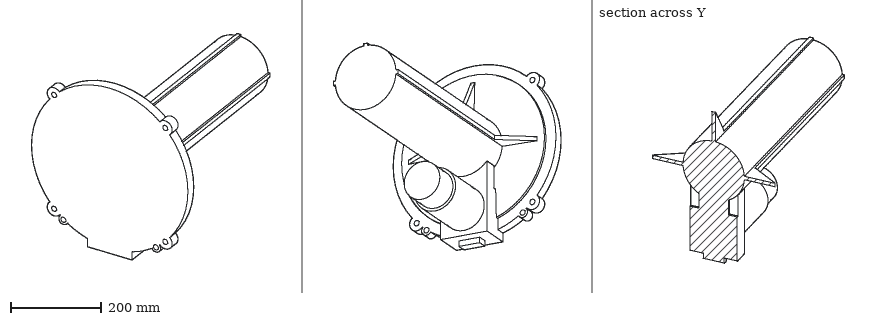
import cadquery as cq

total_length = 548.5
flange_radius = 203.25
flange_thickness = 25.0
step_radius = 178.5
step_thickness = 7.0
cone_height = 5.5

tube_radius = 75.5
rib_radius = 80.5
rib_width = 10.0
gusset_foot_radius = 162.0
gusset_end_y = 83.5

hole_diameter = 12.5
large_lug_radius = 18.0
large_lug_offset = 144.5
small_lug_radius = 12.0
small_lug_x = 120.0
small_lug_z = -165.0

block_width = 116.5
block_depth = 77.0
block_top_z = -49.5
block_bottom_z = -215.5
notch_bottom_z = -102.5
notch_end_y = 43.5
notch_core_width = 73.5

tab_width = 52.0
tab_start_y = 25.0
tab_depth = 25.0
tab_bottom_z = -228.5

motor_z = -153.0
motor_radius = 51.0
motor_end_y = 214.5
motor_cap_radius = 44.5
motor_cap_end_y = 277.5

step_end_y = flange_thickness + step_thickness
cone_end_y = step_end_y + cone_height


def cylinder(radius, start_y, end_y, x=0, z=0):
    """Cylinder along Y between two stations."""
    base = cq.Workplane("XZ", origin=(x, start_y, z))
    return base.circle(radius).extrude(start_y - end_y)


def box(width, start_y, end_y, bottom_z, top_z):
    """Block centred on X."""
    size = (width, end_y - start_y, top_z - bottom_z)
    return cq.Workplane().box(*size, centered=(True, False, False)).translate((0, start_y, bottom_z))


def flange_and_tube():
    """Turned body: flange, step, shallow cone and tube."""
    profile = [
        (0, 0),
        (flange_radius, 0),
        (flange_radius, flange_thickness),
        (step_radius, flange_thickness),
        (step_radius, step_end_y),
        (tube_radius, cone_end_y),
        (tube_radius, total_length),
        (0, total_length),
    ]
    return cq.Workplane("XY").polyline(profile).close().revolve(360, (0, 0, 0), (0, 1, 0))


def gusset_rib():
    """Rib on the +X side of the tube, widening to a gusset at the flange."""
    outline = [
        (0, flange_thickness),
        (gusset_foot_radius, flange_thickness),
        (gusset_foot_radius, step_end_y),
        (rib_radius, gusset_end_y),
        (rib_radius, total_length),
        (0, total_length),
    ]
    return cq.Workplane("XY").polyline(outline).close().extrude(rib_width / 2, both=True)


def gearbox():
    """Block under the tube, with side notches beside the cone and a tab below."""
    block = box(block_width, 0, block_depth, block_bottom_z, block_top_z)
    notch = box(block_width, 0, notch_end_y, notch_bottom_z, block_top_z)
    core = box(notch_core_width, 0, notch_end_y, notch_bottom_z, block_top_z)
    tab = box(tab_width, tab_start_y, tab_start_y + tab_depth, tab_bottom_z, block_bottom_z)
    return block.cut(notch.cut(core)).union(tab)


lugs = [
    (side * large_lug_offset, level * large_lug_offset, large_lug_radius)
    for side in (-1, 1)
    for level in (-1, 1)
]
lugs += [(side * small_lug_x, small_lug_z, small_lug_radius) for side in (-1, 1)]

result = flange_and_tube()

for angle in (0, -90, -180):
    result = result.union(gusset_rib().rotate((0, 0, 0), (0, 1, 0), angle))

result = result.union(gearbox())
result = result.union(cylinder(motor_radius, block_depth, motor_end_y, z=motor_z))
result = result.union(cylinder(motor_cap_radius, motor_end_y, motor_cap_end_y, z=motor_z))

for lug_x, lug_z, lug_radius in lugs:
    result = result.union(cylinder(lug_radius, 0, flange_thickness, lug_x, lug_z))
for lug_x, lug_z, _ in lugs:
    result = result.cut(cylinder(hole_diameter / 2, 0, flange_thickness, lug_x, lug_z))